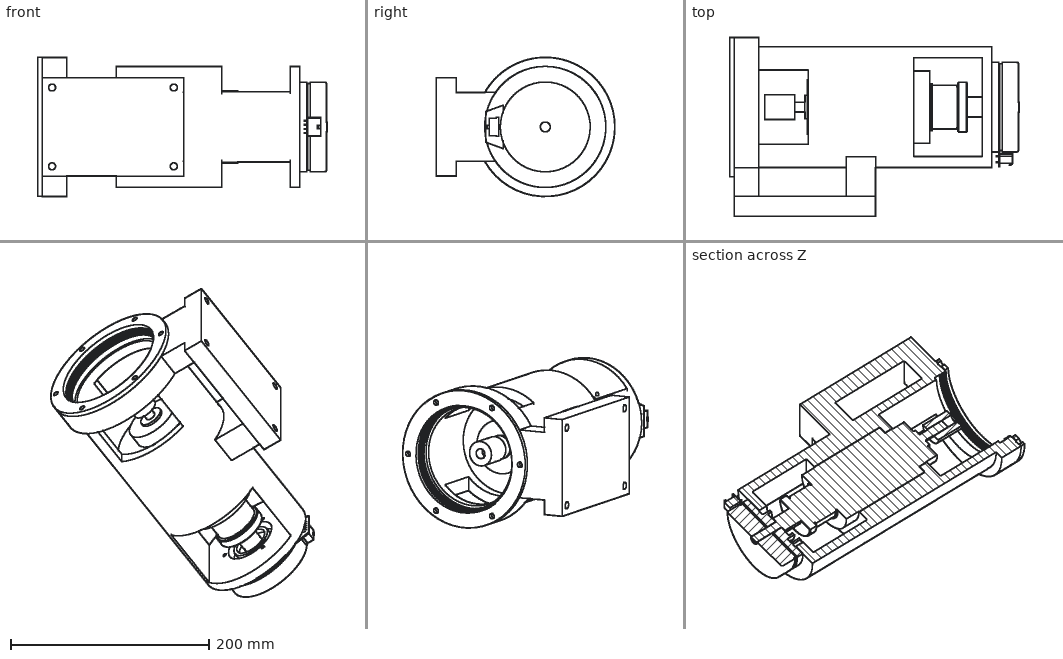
import cadquery as cq

flange_diameter = 140.7
flange_radius = flange_diameter / 2
tube_radius = 61.0
bore_radius = 50.5
ring_thickness = 4.7
flange_end = 29.5
tube_end = 264.5
wall_thickness = 10.0

seat_radius = 53.5
thread_crest_radius = 52.3
thread_pitch = 1.0
thread_turns = 9
seat_end = 18.7
front_wall = 92.5

front_window_end = 79.2
front_window_width = 75.0
rear_window_start = 186.0
rear_window_end = tube_end - wall_thickness
rear_window_width = 99.5
end_wall_hole_radius = 26.3
screw_hole_count = 3
screw_hole_circle_radius = 31.0
screw_hole_radius = 1.8

foot_end = 147.5
foot_bottom = -110.2
foot_thickness = 20.5
foot_height = 99.5
leg_height = 69.5
rear_leg_length = 29.8
foot_hole_radius = 3.5
foot_hole_inset = 10.0

ring_bore_radius = 55.0
ring_hole_count = 6
ring_hole_circle_radius = 64.0
ring_hole_radius = 2.5

shaft_radius = 5.0
shaft_chamfer = 1.0
coupling_start = 35.5
coupling_length = 30.5
coupling_radius = 12.5
coupling_recess = 11.7
spindle_boss_start = 76.0
spindle_boss_radius = 12.0
spindle_nose_start = 78.5
spindle_nose_radius = 27.5
spindle_shoulder = front_wall + wall_thickness
spindle_body_radius = 36.5
spindle_body_end = 202.0
washer_start = 203.0
washer_end = 204.7
washer_radius = 23.7
hub_radius = 22.2
hub_end = 229.5
hub_groove_radius = 20.5
collar_start = 230.5
collar_end = 239.8
collar_radius = 25.1
collar_chamfer = 1.0
rear_shaft_radius = 10.2

total_length = 292.5
encoder_radius = 45.3
encoder_base_end = 271.7
board_thickness = 1.2
encoder_groove_radius = 44.0
cover_start = 275.0
cover_end = 291.5
cover_fillet = 1.8
stub_radius = 20.5
stub_length = 8.8
stub_recess_radius = 17.0
stub_recess_depth = 4.7

tab_bottom = -60.0
tab_root = -42.5
tab_root_height = 44.0
tab_tip_height = 31.0
plug_end = 285.7
plug_top = -47.0
plug_bottom = -56.7
plug_height = 17.5
plug_lip_thickness = 2.3
plug_lip_height = 19.3
latch_thickness = 1.8
latch_depth = 1.8
latch_height = 3.5
pin_pitch = 4.0
pin_size = 1.0
pin_length = 2.5
pin_count = 4
pin_rows = (-49.5, -55.5)


def rod(start, end, radius):
    """Solid cylinder along X."""
    plane = cq.Plane(origin=(start, 0, 0), xDir=(0, 0, 1), normal=(1, 0, 0))
    return cq.Workplane(plane).circle(radius).extrude(end - start)


def hole_pattern(start, end, circle_radius, count, hole_radius):
    """Equally spaced cylinders along X, the first one on the +Y side."""
    return (
        cq.Workplane("YZ")
        .workplane(offset=start)
        .polarArray(circle_radius, 0, 360, count)
        .circle(hole_radius)
        .extrude(end - start)
    )


def block(x_range, y_range, height):
    """Box between two X and two Y positions, centred on Z = 0."""
    (x0, x1), (y0, y1) = x_range, y_range
    box = cq.Workplane("XY").box(x1 - x0, y1 - y0, height, centered=(False, False, True))
    return box.translate((x0, y0, 0))


def turned(profile):
    """Solid of revolution about X from (x, radius) points, closed along the axis."""
    points = [(profile[0][0], 0), *profile, (profile[-1][0], 0)]
    return cq.Workplane("XZ").polyline(points).close().revolve(360, (0, 0, 0), (1, 0, 0))


def stepped(sections):
    """Profile points for consecutive cylinders given as (start, end, radius)."""
    return [(x, radius) for start, end, radius in sections for x in (start, end)]


def threaded_seat():
    """Cutter for the flange bore: ring-shaped V ridges left standing, then a plain seat."""
    profile = [(ring_thickness, seat_radius)]
    for turn in range(thread_turns):
        ridge_start = ring_thickness + turn * thread_pitch
        profile.append((ridge_start + thread_pitch / 2, thread_crest_radius))
        profile.append((ridge_start + thread_pitch, seat_radius))
    profile.append((seat_end, seat_radius))
    return turned(profile)


def make_ring():
    ring = rod(0, ring_thickness, flange_radius).cut(rod(0, ring_thickness, ring_bore_radius))
    holes = hole_pattern(0, ring_thickness, ring_hole_circle_radius, ring_hole_count, ring_hole_radius)
    return ring.cut(holes)


def make_foot():
    plate_top = foot_bottom + foot_thickness
    foot = block((ring_thickness, foot_end), (foot_bottom, plate_top), foot_height)
    for leg_span in ((ring_thickness, flange_end), (foot_end - rear_leg_length, foot_end)):
        foot = foot.union(block(leg_span, (plate_top, 0), leg_height))
    hole_span_x = foot_end - ring_thickness - 2 * foot_hole_inset
    hole_span_z = foot_height - 2 * foot_hole_inset
    holes = (
        cq.Workplane("XZ", origin=((ring_thickness + foot_end) / 2, plate_top, 0))
        .rect(hole_span_x, hole_span_z, forConstruction=True)
        .vertices()
        .circle(foot_hole_radius)
        .extrude(foot_thickness)
    )
    return foot.cut(holes)


def make_housing():
    housing = rod(ring_thickness, flange_end, flange_radius).union(rod(flange_end, tube_end, tube_radius))
    housing = housing.union(make_foot())
    housing = housing.cut(rod(ring_thickness, front_wall, bore_radius))
    housing = housing.cut(threaded_seat())
    housing = housing.cut(rod(front_wall, spindle_shoulder, spindle_nose_radius))
    housing = housing.cut(rod(spindle_shoulder, rear_window_start, spindle_body_radius))
    housing = housing.cut(rod(rear_window_end, tube_end, end_wall_hole_radius))
    housing = housing.cut(
        hole_pattern(rear_window_end, tube_end, screw_hole_circle_radius, screw_hole_count, screw_hole_radius)
    )
    front_half = front_window_width / 2
    rear_half = rear_window_width / 2
    window_height = 2 * tube_radius
    housing = housing.cut(block((flange_end, front_window_end), (-front_half, front_half), window_height))
    return housing.cut(block((rear_window_start, rear_window_end), (-rear_half, rear_half), window_height))


def make_coupling():
    coupling_end = coupling_start + coupling_length
    coupling = rod(coupling_start, coupling_end, coupling_radius)
    return coupling.cut(rod(coupling_start, coupling_end, shaft_radius))


def stub_floor():
    """X position where the encoder stub's recess ends and the shaft steps down."""
    return tube_end - stub_length + stub_recess_depth


def make_spindle():
    shaft_start = coupling_start + coupling_recess
    spindle = turned(stepped([
        (shaft_start, spindle_boss_start, shaft_radius),
        (spindle_boss_start, spindle_nose_start, spindle_boss_radius),
        (spindle_nose_start, spindle_shoulder, spindle_nose_radius),
        (spindle_shoulder, spindle_body_end, spindle_body_radius),
        (spindle_body_end, washer_start, hub_groove_radius),
        (washer_start, washer_end, washer_radius),
        (washer_end, hub_end, hub_radius),
        (hub_end, collar_start, hub_groove_radius),
    ]))
    collar = rod(collar_start, collar_end, collar_radius).edges().chamfer(collar_chamfer)
    shoulder = stub_floor()
    rear_shaft = rod(collar_end, shoulder, rear_shaft_radius)
    tail = rod(shoulder, total_length, shaft_radius)
    return spindle.faces("<X").chamfer(shaft_chamfer).union(collar).union(rear_shaft).union(tail)


def shaft_clearance():
    """Cutter for the shaft tail where it runs through the encoder."""
    return rod(stub_floor(), total_length, shaft_radius)


def make_encoder_base():
    base = rod(tube_end, encoder_base_end, encoder_radius)
    stub_start = tube_end - stub_length
    stub = rod(stub_start, tube_end, stub_radius).cut(rod(stub_start, stub_floor(), stub_recess_radius))
    return base.union(stub).cut(shaft_clearance())


def pin_heights():
    return [(index - (pin_count - 1) / 2) * pin_pitch for index in range(pin_count)]


def make_board_tab():
    """Circuit board tab, narrowing towards its outer edge."""
    return (
        cq.Workplane("YZ")
        .workplane(offset=encoder_base_end)
        .polyline([
            (tab_root, tab_root_height / 2),
            (tab_bottom, tab_tip_height / 2),
            (tab_bottom, -tab_tip_height / 2),
            (tab_root, -tab_root_height / 2),
        ])
        .close()
        .extrude(board_thickness)
    )


def make_plug():
    """Connector block with a lip and a leaning latch."""
    plug_start = encoder_base_end + board_thickness
    plug = block((plug_start, plug_end), (plug_bottom, plug_top), plug_height)
    lip = block((plug_start, plug_end), (plug_top - plug_lip_thickness, plug_top), plug_lip_height)
    latch = (
        cq.Workplane("XY")
        .polyline([
            (plug_end - latch_thickness, plug_bottom),
            (plug_end, plug_bottom),
            (plug_end - latch_thickness, plug_bottom - latch_depth),
            (plug_end - 2 * latch_thickness, plug_bottom - latch_depth),
        ])
        .close()
        .extrude(latch_height / 2, both=True)
    )
    return plug.union(lip).union(latch)


def make_encoder_board():
    board = rod(encoder_base_end, encoder_base_end + board_thickness, encoder_groove_radius)
    board = board.cut(shaft_clearance())
    board = board.union(make_board_tab()).union(make_plug())
    pin_start = encoder_base_end - pin_length
    for row in pin_rows:
        for z in pin_heights():
            pin = block((pin_start, encoder_base_end), (row - pin_size / 2, row + pin_size / 2), pin_size)
            board = board.union(pin.translate((0, 0, z)))
    return board


def make_encoder_cover():
    groove = rod(encoder_base_end + board_thickness, cover_start, encoder_groove_radius)
    cap = rod(cover_start, cover_end, encoder_radius).faces(">X").edges().fillet(cover_fillet)
    return groove.union(cap).cut(shaft_clearance())


result = cq.Compound.makeCompound([
    make_ring().val(),
    make_housing().val(),
    make_coupling().val(),
    make_spindle().val(),
    make_encoder_base().val(),
    make_encoder_board().val(),
    make_encoder_cover().val(),
])